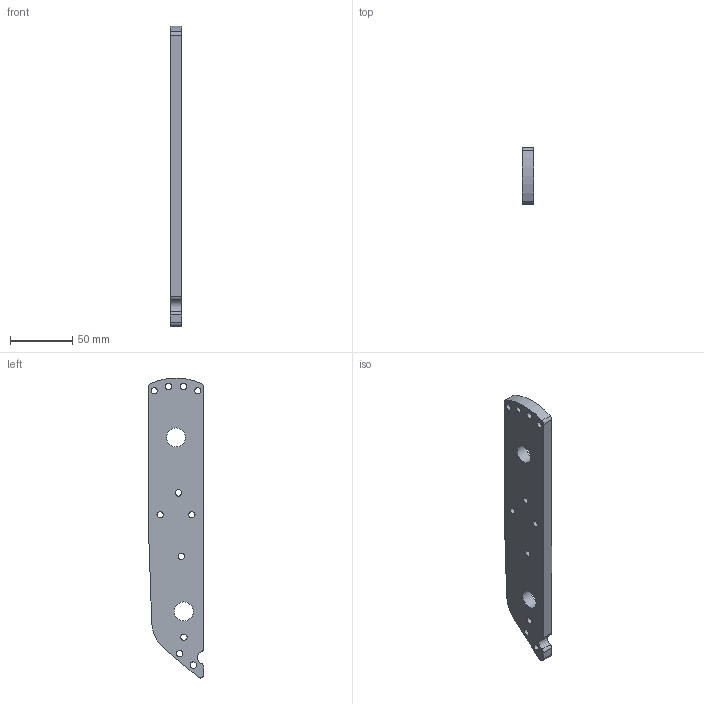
import cadquery as cq
import math

THICKNESS = 9.525
WIDTH = 44.45
HEIGHT = 240.26
FRONT_Y = -WIDTH / 2
BACK_Y = WIDTH / 2
TOP_Z = HEIGHT / 2
BOTTOM_Z = -HEIGHT / 2

CROWN_RADIUS = 47.625
CORNER_RADIUS = 3.175
TIP_RADIUS = 2.7
HEEL_RADIUS = 28.0
TAPER_START_Z = 4.4
TAPER_ANGLE = math.radians(2)
SLANT_ANGLE = math.radians(40)
NOTCH_RADIUS = 5.08
NOTCH_LIP_RADIUS = 2.8
NOTCH_Z = -103.95

BORE_DIAMETER = 15.2
UPPER_BORE = (0, TOP_Z - CROWN_RADIUS)
BORE_SHIFT = 6.3
BORE_DROP = 139.35
LOWER_BORE = (UPPER_BORE[0] - BORE_SHIFT, UPPER_BORE[1] - BORE_DROP)

HOLE_DIAMETER = 5.1
CROWN_HOLE_RADIUS = 41.275
CROWN_HOLE_ANGLES = (-25, -25 / 3, 25 / 3, 25)
CENTRE_LINE_HOLE_DISTANCES = (44.45, 95.25)
PAIR_HALF_SPACING = 12.7
PAIR_DROP = 61.9
HOLE_BELOW_LOWER_BORE = 20.64
SLANT_HOLE_INSET = 5.0
SLANT_HOLE_DISTANCES = (9.2, 23.5)

TIP_CENTRE = (FRONT_Y + TIP_RADIUS, BOTTOM_Z + TIP_RADIUS)
SLANT_DIRECTION = (math.cos(SLANT_ANGLE), math.sin(SLANT_ANGLE))
SLANT_INWARD = (-math.sin(SLANT_ANGLE), math.cos(SLANT_ANGLE))


def slant_point(distance, inset):
    """Point at a distance up the slanted edge from the tip centre, set in from the edge."""
    rise = inset - TIP_RADIUS
    return tuple(
        TIP_CENTRE[i] + distance * SLANT_DIRECTION[i] + rise * SLANT_INWARD[i] for i in range(2)
    )


def outline_corners():
    """Sharp corners of the outline: two on the crown, then the heel and the tip."""
    crown_end_z = UPPER_BORE[1] + math.sqrt(CROWN_RADIUS**2 - BACK_Y**2)
    slant_y, slant_z = slant_point(0, 0)
    slope = math.tan(SLANT_ANGLE)
    tip_z = slant_z + (FRONT_Y - slant_y) * slope
    taper = math.tan(TAPER_ANGLE)
    heel_z = (tip_z + slope * (WIDTH - TAPER_START_Z * taper)) / (1 - slope * taper)
    heel_y = BACK_Y - (TAPER_START_Z - heel_z) * taper
    return (FRONT_Y, crown_end_z), (BACK_Y, crown_end_z), (heel_y, heel_z), (FRONT_Y, tip_z)


def fillet_at(body, points, radius):
    """Round the edges that run through the thickness at the given outline points."""
    for y, z in points:
        edge = body.edges("|X").edges(cq.NearestToPointSelector((0, y, z)))
        body = edge.fillet(radius)
    return body


def plate_blank():
    front_crown, back_crown, heel, tip = outline_corners()
    body = (
        cq.Workplane("YZ")
        .moveTo(*tip)
        .lineTo(*front_crown)
        .threePointArc((0, TOP_Z), back_crown)
        .lineTo(BACK_Y, TAPER_START_Z)
        .lineTo(*heel)
        .close()
        .extrude(THICKNESS / 2, both=True)
    )
    body = body.cut(through_holes([(FRONT_Y, NOTCH_Z)], 2 * NOTCH_RADIUS))
    notch_lips = [(FRONT_Y, NOTCH_Z + side * NOTCH_RADIUS) for side in (-1, 1)]
    body = fillet_at(body, [front_crown, back_crown], CORNER_RADIUS)
    body = fillet_at(body, notch_lips, NOTCH_LIP_RADIUS)
    body = fillet_at(body, [tip], TIP_RADIUS)
    return fillet_at(body, [heel], HEEL_RADIUS)


def through_holes(centres, diameter):
    """Cylinders through the full thickness, to be cut from the plate."""
    return (
        cq.Workplane("YZ").pushPoints(centres).circle(diameter / 2).extrude(THICKNESS, both=True)
    )


def small_hole_centres():
    upper_y, upper_z = UPPER_BORE
    lower_y, lower_z = LOWER_BORE
    centres = []
    for degrees in CROWN_HOLE_ANGLES:
        angle = math.radians(degrees)
        y = upper_y + CROWN_HOLE_RADIUS * math.sin(angle)
        z = upper_z + CROWN_HOLE_RADIUS * math.cos(angle)
        centres.append((y, z))
    bore_spacing = math.dist(UPPER_BORE, LOWER_BORE)
    for distance in CENTRE_LINE_HOLE_DISTANCES:
        fraction = distance / bore_spacing
        y = upper_y + fraction * (lower_y - upper_y)
        z = upper_z + fraction * (lower_z - upper_z)
        centres.append((y, z))
    for side in (-1, 1):
        centres.append((upper_y + side * PAIR_HALF_SPACING, upper_z - PAIR_DROP))
    centres.append((lower_y, lower_z - HOLE_BELOW_LOWER_BORE))
    for distance in SLANT_HOLE_DISTANCES:
        centres.append(slant_point(distance, SLANT_HOLE_INSET))
    return centres


bores = through_holes([UPPER_BORE, LOWER_BORE], BORE_DIAMETER)
small_holes = through_holes(small_hole_centres(), HOLE_DIAMETER)
result = plate_blank().cut(bores).cut(small_holes)